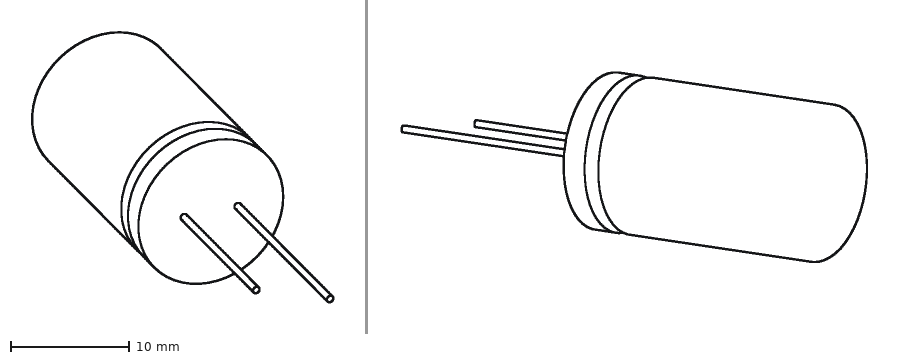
import cadquery as cq

overall_length = 41.0
can_diameter = 13.5
can_length = 22.02
rim_radius = 0.2

groove_center_x = 19.2
groove_radius = 0.7

lead_diameter = 0.6
lead_spacing = 5.0
long_lead_length = overall_length - can_length
short_lead_length = 14.9

can_radius = can_diameter / 2


def make_can():
    """Revolve the can's half section about X, then round the rim of the closed end."""
    groove_start = (groove_center_x - groove_radius, can_radius)
    groove_bottom = (groove_center_x, can_radius - groove_radius)
    groove_end = (groove_center_x + groove_radius, can_radius)
    half_section = (
        cq.Workplane("XY")
        .lineTo(0, can_radius)
        .lineTo(*groove_start)
        .threePointArc(groove_bottom, groove_end)
        .lineTo(can_length, can_radius)
        .lineTo(can_length, 0)
        .close()
    )
    can = half_section.revolve(360, (0, 0, 0), (1, 0, 0))
    return can.faces("<X").edges().fillet(rim_radius)


def make_lead(offset_y, length):
    """Round wire that starts at the open end of the can."""
    return (
        cq.Workplane("YZ", origin=(can_length, offset_y, 0))
        .circle(lead_diameter / 2)
        .extrude(length)
    )


can = make_can()

lead_places = [
    (-lead_spacing / 2, short_lead_length),
    (lead_spacing / 2, long_lead_length),
]
leads = [make_lead(offset_y, length) for offset_y, length in lead_places]

result = cq.Compound.makeCompound([can.val(), *[lead.val() for lead in leads]])